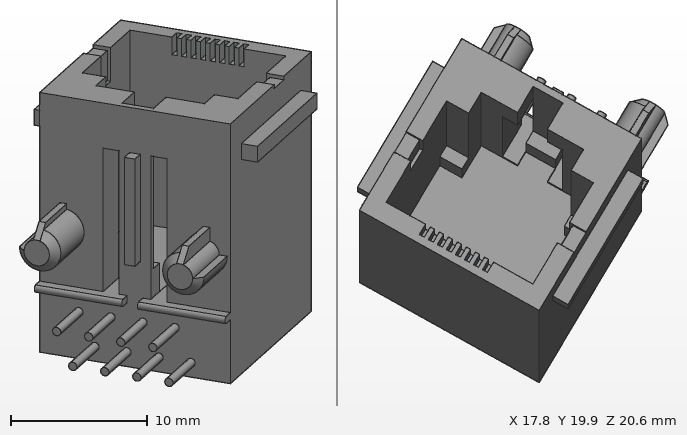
import cadquery as cq


body_width = 15.18
body_depth = 15.0
body_height = 20.57

cavity_floor_z = 5.39
cavity_back_y = 13.5
cavity_half_width = 6.2
shoulder_y = 4.65
middle_half_width = 4.32
middle_front_y = 2.82
channel_half_width = 1.25
channel_front_y = 0.53

ledge_z = 7.9
channel_ledge_depth = 1.07
shoulder_ledge_depth = 0.99

contact_count = 8
contact_pitch = 0.76
contact_slot_width = 0.41
contact_slot_depth = 0.88
contact_slot_height = 1.4

notch_front_y = 8.13
notch_length = 1.77
notch_depth = 0.29
recess_depth = 0.27
recess_height = 2.67

rail_projection = 1.3
rail_height = 1.25
rail_length = 11.0
rail_front_y = 2.02
rail_bottom_z = 17.0

window_width = 1.28
window_bottom_z = 5.64
window_top_z = rail_bottom_z
face_projection = 0.99
rib_width = 0.85
rib_bottom_z = 8.5

bar_height = 0.58
bar_gap = 1.25
bar_nose = 0.19

peg_x = 5.7
peg_z = 10.05
peg_length = 4.94
peg_radius = 1.65
peg_chamfer = 0.64
peg_core_radius = peg_radius - peg_chamfer
key_width = 0.53
key_height = 2.05
key_chamfer = key_height - peg_core_radius

pin_count = 8
pin_pitch = 1.28
pin_diameter = 0.65
pin_length = 4.11
low_row_z = 1.17
high_row_z = low_row_z + 2 * pin_pitch


def block(x_range, y_range, z_range):
    """Axis-aligned box given by its limits along each axis."""
    limits = (x_range, y_range, z_range)
    sizes = [high - low for low, high in limits]
    corner = tuple(low for low, high in limits)
    return cq.Workplane("XY").box(*sizes, centered=False).translate(corner)


def mirrored_pair(shape):
    """A shape together with its mirror image across X = 0."""
    return shape.union(shape.mirror("YZ"))


def rod_toward_front(radius, length, x, z):
    """Cylinder standing on the mounting face."""
    return cq.Workplane("XZ", origin=(x, 0, z)).circle(radius).extrude(length)


def make_cavity():
    steps = [
        (cavity_half_width, shoulder_y),
        (middle_half_width, middle_front_y),
        (channel_half_width, channel_front_y),
    ]
    cavity = cq.Workplane("XY")
    for half_width, front_y in steps:
        cavity = cavity.union(
            block((-half_width, half_width), (front_y, cavity_back_y), (cavity_floor_z, body_height))
        )
    return cavity


def make_ledges():
    ledge_levels = (cavity_floor_z, ledge_z)
    channel_ledge = block(
        (-channel_half_width, channel_half_width),
        (channel_front_y, channel_front_y + channel_ledge_depth),
        ledge_levels,
    )
    shoulder_ledge = block(
        (middle_half_width, cavity_half_width),
        (shoulder_y, shoulder_y + shoulder_ledge_depth),
        ledge_levels,
    )
    return channel_ledge.union(mirrored_pair(shoulder_ledge))


def make_contact_slots():
    slots = cq.Workplane("XY")
    for index in range(contact_count):
        left_x = (index - (contact_count - 1) / 2) * contact_pitch - contact_slot_width / 2
        slots = slots.union(
            block(
                (left_x, left_x + contact_slot_width),
                (cavity_back_y, cavity_back_y + contact_slot_depth),
                (body_height - contact_slot_height, body_height),
            )
        )
    return slots


def make_side_notches():
    y_range = (notch_front_y, notch_front_y + notch_length)
    notch = block((cavity_half_width, body_width / 2), y_range, (body_height - notch_depth, body_height))
    recess = block(
        (cavity_half_width, cavity_half_width + recess_depth),
        y_range,
        (body_height - recess_height, body_height),
    )
    return mirrored_pair(notch.union(recess))


def make_windows():
    window = block(
        (channel_half_width, channel_half_width + window_width),
        (0, middle_front_y),
        (window_bottom_z, window_top_z),
    )
    return mirrored_pair(window)


def make_rails():
    rail = block(
        (body_width / 2, body_width / 2 + rail_projection),
        (rail_front_y, rail_front_y + rail_length),
        (rail_bottom_z, rail_bottom_z + rail_height),
    )
    return mirrored_pair(rail)


def make_center_rib():
    return block((-rib_width / 2, rib_width / 2), (-face_projection, 0), (rib_bottom_z, window_top_z))


def make_standoff_bars():
    bottom_z = window_bottom_z - bar_height
    nose_start_y = bar_nose - face_projection
    bar = (
        cq.Workplane("YZ", origin=(bar_gap / 2, 0, 0))
        .moveTo(0, window_bottom_z)
        .lineTo(nose_start_y, window_bottom_z)
        .threePointArc((-face_projection, window_bottom_z - bar_height / 2), (nose_start_y, bottom_z))
        .lineTo(0, bottom_z)
        .close()
        .extrude(body_width / 2 - bar_gap / 2)
    )
    return mirrored_pair(bar)


def make_pegs():
    post = rod_toward_front(peg_radius, peg_length, peg_x, peg_z).faces("<Y").chamfer(peg_chamfer)
    outer_quarter = block((peg_x, peg_x + peg_radius), (-peg_length, 0), (peg_z, peg_z + peg_radius))
    core = rod_toward_front(peg_core_radius, peg_length, peg_x, peg_z)

    key_top_z = peg_z + key_height
    key = (
        cq.Workplane("YZ", origin=(peg_x - key_width / 2, 0, 0))
        .moveTo(0, peg_z)
        .lineTo(0, key_top_z)
        .lineTo(key_chamfer - peg_length, key_top_z)
        .lineTo(-peg_length, key_top_z - key_chamfer)
        .lineTo(-peg_length, peg_z)
        .close()
        .extrude(key_width)
    )
    return mirrored_pair(post.cut(outer_quarter).union(core).union(key))


def make_housing():
    housing = block((-body_width / 2, body_width / 2), (0, body_depth), (0, body_height))
    for opening in (make_cavity(), make_contact_slots(), make_side_notches(), make_windows()):
        housing = housing.cut(opening)
    for addition in (make_ledges(), make_rails(), make_center_rib(), make_standoff_bars(), make_pegs()):
        housing = housing.union(addition)
    return housing


def make_pin(index):
    x = (index - (pin_count - 1) / 2) * pin_pitch
    z = high_row_z if index % 2 == 0 else low_row_z
    return rod_toward_front(pin_diameter / 2, pin_length, x, z)


housing = make_housing()
pins = [make_pin(index) for index in range(pin_count)]

result = cq.Compound.makeCompound([housing.solids().val(), *[pin.val() for pin in pins]])